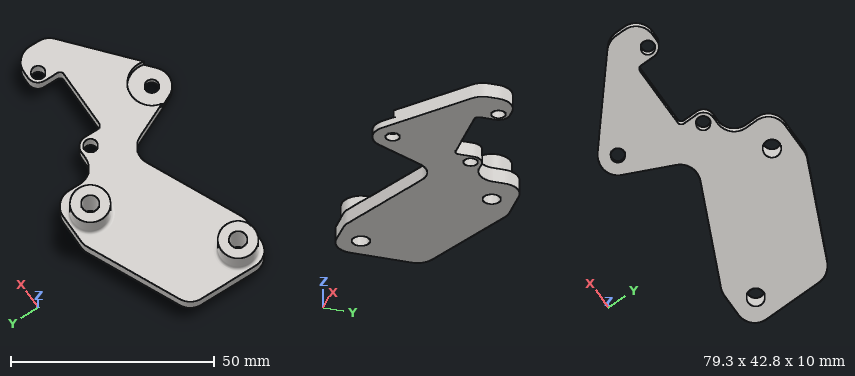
import cadquery as cq
import math

length = 79.3
depth = 42.75
height = 10.0
plate_thickness = 4.0

corner_radius = 5.0
lug_radius = 2.9
notch_radius = 1.0

boss_radius = 5.0
foot_fillet = 1.0
boss_hole_diameter = 4.5
boss_spacing_x = 28.0
boss_spacing_y = 25.0

slant = math.radians(25)
body_right = 41.95
body_top_left_x = 28.0
body_bottom_right_x = 12.0

arm_top = 29.6
notch_left = 51.7
notch_right = 69.6
notch_floor = 21.7
lug_hole_diameter = 3.6
lug_hole_inset_x = 2.7
lug_hole_inset_y = 2.85

tip_x = 54.6
tip_y = corner_radius
tip_edge_slope = math.radians(41)
tip_recess_radius = 6.0
tip_recess_depth = plate_thickness / 2

foot_radius = boss_radius + foot_fillet
upper_boss_y = depth - foot_radius
lower_boss_y = upper_boss_y - boss_spacing_y
body_bottom = lower_boss_y - foot_radius
boss_centers = [
    (foot_radius, lower_boss_y),
    (foot_radius + boss_spacing_x, upper_boss_y),
]


def tip_tangent(angle):
    """Line through the tip circle's tangent point, at the given angle."""
    point = (
        tip_x + corner_radius * math.sin(angle),
        tip_y - corner_radius * math.cos(angle),
    )
    return point, angle


def intersection(first, second):
    """Crossing point of two lines, each given as a point and an angle."""
    (x1, y1), angle1 = first
    (x2, y2), angle2 = second
    along = (x2 - x1) * math.sin(angle2) - (y2 - y1) * math.cos(angle2)
    along /= math.sin(angle2 - angle1)
    return x1 + along * math.cos(angle1), y1 + along * math.sin(angle1)


def rounded_corner(before, corner, after, radius):
    """Start, middle and end of the arc that rounds a corner."""
    corner = cq.Vector(*corner)
    back = (cq.Vector(*before) - corner).normalized()
    ahead = (cq.Vector(*after) - corner).normalized()
    half_angle = back.getAngle(ahead) / 2
    setback = radius / math.tan(half_angle)
    gap = radius / math.sin(half_angle) - radius
    middle = corner + (back + ahead).normalized() * gap
    return corner + back * setback, middle, corner + ahead * setback


def rounded_outline(corners):
    """Closed outline from (point, radius) corners."""
    points = [point for point, _ in corners]
    count = len(corners)
    arcs = [
        rounded_corner(points[i - 1], point, points[(i + 1) % count], radius)
        for i, (point, radius) in enumerate(corners)
    ]
    outline = cq.Workplane("XY").moveTo(*arcs[0][0].toTuple()[:2])
    for i, (start, middle, end) in enumerate(arcs):
        if i > 0:
            outline = outline.lineTo(start.x, start.y)
        outline = outline.threePointArc((middle.x, middle.y), (end.x, end.y))
    return outline.close()


def make_plate():
    body_lower_edge = ((body_bottom_right_x, body_bottom), slant)
    arm_inner_edge = tip_tangent(slant - math.pi / 2)
    arm_outer_edge = tip_tangent(tip_edge_slope)
    right_edge = ((length, 0), math.pi / 2)
    body_left_top = depth - body_top_left_x * math.tan(slant)
    corners = [
        ((0, body_bottom), corner_radius),
        ((body_bottom_right_x, body_bottom), corner_radius),
        (intersection(body_lower_edge, arm_inner_edge), corner_radius),
        (intersection(arm_inner_edge, arm_outer_edge), corner_radius),
        (intersection(arm_outer_edge, right_edge), corner_radius),
        ((length, arm_top), corner_radius),
        ((notch_right, arm_top), lug_radius),
        ((notch_right, notch_floor), notch_radius),
        ((notch_left, notch_floor), notch_radius),
        ((notch_left, arm_top), lug_radius),
        ((body_right, arm_top), corner_radius),
        ((body_right, depth), corner_radius),
        ((body_top_left_x, depth), corner_radius),
        ((0, body_left_top), corner_radius),
    ]
    return rounded_outline(corners).extrude(plate_thickness)


def make_boss(center):
    """Round boss whose foot flares into the plate by a concave fillet."""
    foot_top = plate_thickness + foot_fillet
    diagonal = foot_fillet * (1 - math.sqrt(0.5))
    profile = (
        cq.Workplane("XZ")
        .lineTo(boss_radius, 0)
        .lineTo(foot_radius, plate_thickness)
        .threePointArc(
            (boss_radius + diagonal, plate_thickness + diagonal),
            (boss_radius, foot_top),
        )
        .lineTo(boss_radius, height)
        .lineTo(0, height)
        .close()
    )
    return profile.revolve(360, (0, 0), (0, 1)).translate((*center, 0))


def vertical_cylinders(centers, radius, bottom=0):
    """Cutting cylinders from the given level up to the top of the part."""
    return (
        cq.Workplane("XY", origin=(0, 0, bottom))
        .pushPoints(centers)
        .circle(radius)
        .extrude(height - bottom)
    )


lug_hole_y = arm_top - lug_hole_inset_y
small_hole_centers = [
    (notch_left - lug_hole_inset_x, lug_hole_y),
    (notch_right + lug_hole_inset_x, lug_hole_y),
    (tip_x, tip_y),
]

result = make_plate()
for boss_center in boss_centers:
    result = result.union(make_boss(boss_center))
result = result.cut(vertical_cylinders(boss_centers, boss_hole_diameter / 2))
result = result.cut(vertical_cylinders(small_hole_centers, lug_hole_diameter / 2))

recess_floor = plate_thickness - tip_recess_depth
result = result.cut(vertical_cylinders([(tip_x, tip_y)], tip_recess_radius, recess_floor))